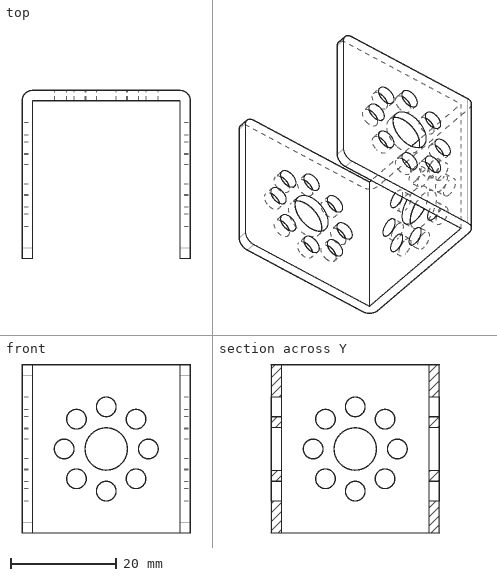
import cadquery as cq

size = 32.0
thickness = 2.0
bend_radius = 2.0
corner_radius = 2.0

centre_hole_diameter = 8.0
small_hole_diameter = 3.7
small_hole_count = 8
hole_circle_radius = 8.0


def make_channel():
    """Square U-channel with rounded outer bends and rounded free corners."""
    outer = cq.Workplane("XY").box(size, size, size)
    outer = outer.edges("|Z and >Y").fillet(bend_radius)
    outer = outer.edges("|X and <Y").fillet(corner_radius)
    cavity = (
        cq.Workplane("XY")
        .box(size - 2 * thickness, size, size)
        .translate((0, -thickness, 0))
    )
    return outer.cut(cavity)


def make_hole_cutter(plane, length, both_ways):
    """Centre hole and its ring of small holes, extruded from the part centre."""
    centre = cq.Workplane(plane).circle(centre_hole_diameter / 2).extrude(length, both=both_ways)
    ring = (
        cq.Workplane(plane)
        .polarArray(hole_circle_radius, 0, 360, small_hole_count)
        .circle(small_hole_diameter / 2)
        .extrude(length, both=both_ways)
    )
    return centre.union(ring)


channel = make_channel()
side_wall_holes = make_hole_cutter("YZ", size, True)
back_plate_holes = make_hole_cutter("XZ", -size, False)

result = channel.cut(side_wall_holes).cut(back_plate_holes)